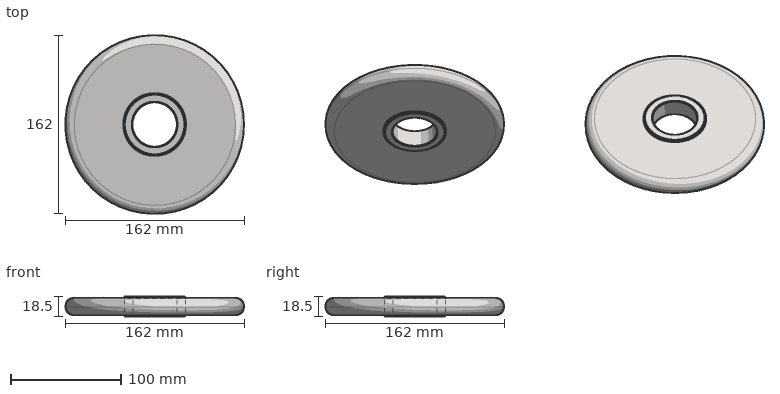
import cadquery as cq

disc_diameter = 162.0
disc_thickness = 16.0

recess_diameter = 57.0
recess_depth = 0.5

hub_diameter = 55.0
hub_length = 18.5
hub_chamfer = 0.6
bore_diameter = 40.0
bore_chamfer = 0.8

rim_radius = disc_thickness / 2
flat_radius = disc_diameter / 2 - rim_radius
hub_radius = hub_diameter / 2
recess_radius = recess_diameter / 2
recess_floor = disc_thickness / 2 - recess_depth


def make_disc():
    """Revolve the disc section, its rim being two quarter rounds that meet at mid-thickness."""
    rim_middle = (disc_diameter / 2, 0)
    section = (
        cq.Workplane("XZ")
        .moveTo(hub_radius, -recess_floor)
        .lineTo(recess_radius, -recess_floor)
        .lineTo(recess_radius, -rim_radius)
        .lineTo(flat_radius, -rim_radius)
        .tangentArcPoint(rim_middle, relative=False)
        .tangentArcPoint((flat_radius, rim_radius), relative=False)
        .lineTo(recess_radius, rim_radius)
        .lineTo(recess_radius, recess_floor)
        .lineTo(hub_radius, recess_floor)
        .close()
    )
    return section.revolve(360, (0, 0, 0), (0, 1, 0))


def make_hub():
    """Make the bush with both ends chamfered on the outside and at the bore."""
    hub = cq.Workplane("XY").cylinder(hub_length, hub_radius)
    hub = hub.faces("<Z or >Z").edges().chamfer(hub_chamfer)
    hub = hub.faces(">Z").workplane().hole(bore_diameter)
    bore_edges = hub.faces("<Z or >Z").edges(cq.selectors.RadiusNthSelector(0))
    return bore_edges.chamfer(bore_chamfer)


disc = make_disc()
hub = make_hub()

result = cq.Compound.makeCompound([disc.val(), hub.val()])